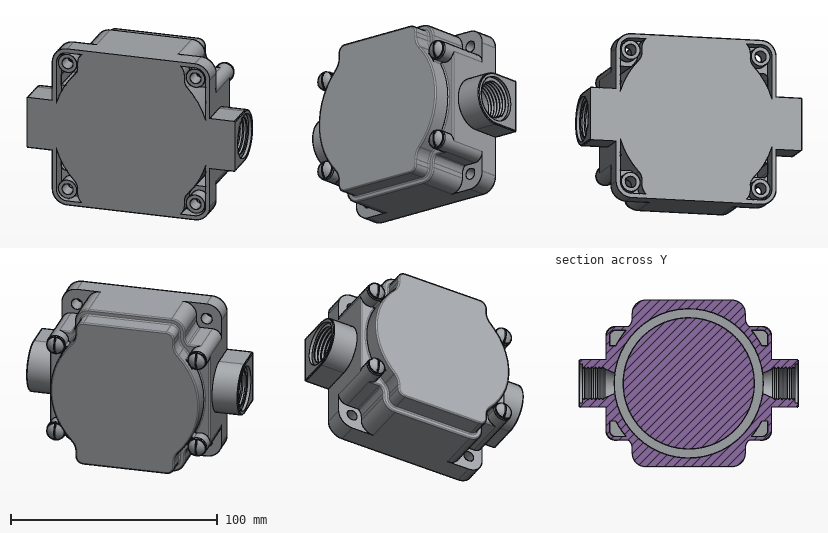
import cadquery as cq
import math


LENGTH = 106.1
DEPTH = 41.3
HALF_X = 40.1
HALF_Z = 40.4
FLANGE_TOP = 10.0
FLANGE_CORNER = 7.6
STEP_Y = 31.6
EDGE_FILLET = 0.6
SIGNS = (-1, 1)
CORNERS = [(sx, sz) for sx in SIGNS for sz in SIGNS]

DRUM_RADIUS = HALF_X
ARM_HALF_X = 27.5
ARM_CORNER = 6.7
BLEND_RADIUS = 5.3
BLEND_X = ARM_HALF_X + BLEND_RADIUS
BLEND_Z = math.sqrt((DRUM_RADIUS + BLEND_RADIUS) ** 2 - BLEND_X**2)
LID_INSET = 2.9

BOSS_RADIUS = 4.7
BOSS_X = HALF_X - BOSS_RADIUS
BOSS_FLAT_Z = 27.6
BOSS_Z = BOSS_FLAT_Z - BOSS_RADIUS
BOSS_TOP = 38.3
BOSS_CHAMFER = 0.7
BOSS_FOOT_FILLET = 1.1
BOSS_LID_FILLET = 0.6
SCREW_RADIUS = 4.4
SCREW_RIM = 0.7
SCREW_TOP = 41.0
SCREW_SLOT_WIDTH = 0.6
SCREW_SLOT_FLOOR = 39.4

HOLE_POSITION = 32.6
HOLE_RADIUS = 2.8
COLLAR_RADIUS = 4.7
COLLAR_RECESS = 0.8
FLANGE_WALL = 2.1
CORE_INSET = 0.3
POCKET_DEPTH = 7.9
BOSS_WALL = 1.9
HOLLOW_MIN_X = 26.5
HOLLOW_MIN_Z = 18.3
HOLLOW_DEPTH = 27.8

SOCKET_RADIUS = 13.0
SOCKET_Y = 14.9
SOCKET_CHAMFER = 0.4
MOUTH_RADIUS = 11.0
MOUTH_DEPTH = 1.6
THREAD_MAJOR = 9.8
THREAD_MINOR = 9.0
THREAD_PITCH = 1.8
THREAD_TURNS = 6
PORT_HALF_Y = 7.5
PORT_HALF_Z = 6.6

CHAMBER_RADIUS = 36.1
CHAMBER_FLOOR = 4.2
CHAMBER_TOP = 27.8
PLUG_RADIUS = 31.8
PLUG_BOTTOM = 17.9
PORT_OVERLAP = 1.6
THREAD_START_X = LENGTH / 2 - MOUTH_DEPTH
THREAD_END_X = THREAD_START_X - THREAD_PITCH * THREAD_TURNS
PORT_X = CHAMBER_RADIUS - PORT_OVERLAP


def plane_at(y):
    """Work plane parallel to XZ; a negative extrusion goes towards +Y."""
    return cq.Workplane("XZ", origin=(0, y, 0))


def slab(half_x, half_z, corner, start, end):
    block = plane_at(start).rect(2 * half_x, 2 * half_z).extrude(start - end)
    return block.edges("|Y").fillet(corner)


def cylinder(x, z, radius, start, end):
    return plane_at(start).center(x, z).circle(radius).extrude(start - end)


def at_corner(part, sx, sz):
    """Copy a feature made in the +X +Z corner into the corner with these signs."""
    if sx < 0:
        part = part.mirror("YZ")
    if sz < 0:
        part = part.mirror("XY")
    return part


def polar(centre_x, centre_z, radius, angle):
    return (centre_x + radius * math.cos(angle), centre_z + radius * math.sin(angle))


def mirrored_four_ways(quarter):
    half = quarter.union(quarter.mirror("YZ"))
    return half.union(half.mirror("XY")).clean()


def arm_outline(inset, start):
    """Open outline from the middle of the upper arm to the top of the blend."""
    top = HALF_Z - inset
    side = ARM_HALF_X - inset
    corner = ARM_CORNER - inset
    corner_x = side - corner
    corner_z = top - corner
    return (
        plane_at(start)
        .lineTo(0, top)
        .lineTo(corner_x, top)
        .threePointArc(polar(corner_x, corner_z, corner, math.pi / 4), (side, corner_z))
        .lineTo(side, BLEND_Z)
    )


def drum_prism(inset, start, end):
    """Drum with its two arms, moved inwards by inset."""
    drum = DRUM_RADIUS - inset
    blend = BLEND_RADIUS + inset
    tangent_angle = math.atan2(BLEND_Z, BLEND_X)
    blend_mid_angle = math.pi + tangent_angle / 2
    quarter = (
        arm_outline(inset, start)
        .threePointArc(
            polar(BLEND_X, BLEND_Z, blend, blend_mid_angle), polar(0, 0, drum, tangent_angle)
        )
        .threePointArc(polar(0, 0, drum, tangent_angle / 2), (drum, 0))
        .close()
        .extrude(start - end)
    )
    return mirrored_four_ways(quarter)


def base():
    """Lower housing: the arms joined to the boss flats, filled out to the flange width."""
    foot_z = BOSS_FLAT_Z + BOSS_FOOT_FILLET
    foot_drop = BLEND_Z - foot_z
    foot_x = BLEND_X - math.sqrt((BLEND_RADIUS - BOSS_FOOT_FILLET) ** 2 - foot_drop**2)
    foot_angle = math.atan2(foot_z - BLEND_Z, foot_x - BLEND_X) % (2 * math.pi)
    blend_mid_angle = (math.pi + foot_angle) / 2
    foot_mid_angle = (foot_angle + 1.5 * math.pi) / 2
    quarter = (
        arm_outline(0, 0)
        .threePointArc(
            polar(BLEND_X, BLEND_Z, BLEND_RADIUS, blend_mid_angle),
            polar(BLEND_X, BLEND_Z, BLEND_RADIUS, foot_angle),
        )
        .threePointArc(
            polar(foot_x, foot_z, BOSS_FOOT_FILLET, foot_mid_angle), (foot_x, BOSS_FLAT_Z)
        )
        .lineTo(BOSS_X, BOSS_FLAT_Z)
        .threePointArc(polar(BOSS_X, BOSS_Z, BOSS_RADIUS, math.pi / 4), (HALF_X, BOSS_Z))
        .lineTo(HALF_X, 0)
        .close()
        .extrude(-STEP_Y)
    )
    return mirrored_four_ways(quarter)


def housing():
    """Base and lid, with the step between them rounded at its rim and at the lid's foot."""
    body = base().union(drum_prism(LID_INSET, 0, DEPTH))
    body = body.faces(">Y").edges().fillet(EDGE_FILLET)
    step_edges = cq.selectors.BoxSelector(
        (-LENGTH, STEP_Y - EDGE_FILLET / 2, -LENGTH), (LENGTH, STEP_Y + EDGE_FILLET / 2, LENGTH)
    )
    return body.edges(step_edges).fillet(EDGE_FILLET)


def screw_boss():
    """Round boss with its slotted screw head, in the +X +Z corner."""
    rim_y = BOSS_TOP + SCREW_RIM
    dome_height = SCREW_TOP - rim_y
    sphere = (SCREW_RADIUS**2 + dome_height**2) / (2 * dome_height)
    half_angle = math.asin(SCREW_RADIUS / sphere) / 2
    dome_mid = polar(0, SCREW_TOP - sphere, sphere, math.pi / 2 - half_angle)
    boss = (
        cq.Workplane("XY")
        .lineTo(BOSS_RADIUS, 0)
        .lineTo(BOSS_RADIUS, BOSS_TOP - BOSS_CHAMFER)
        .lineTo(SCREW_RADIUS, BOSS_TOP)
        .lineTo(SCREW_RADIUS, rim_y)
        .threePointArc(dome_mid, (0, SCREW_TOP))
        .close()
        .revolve(360, (0, 0, 0), (0, 1, 0))
    )
    slot = (
        plane_at(SCREW_SLOT_FLOOR)
        .rect(SCREW_SLOT_WIDTH, 2 * SCREW_RADIUS)
        .extrude(SCREW_SLOT_FLOOR - DEPTH)
    )
    return boss.cut(slot).translate((BOSS_X, 0, BOSS_Z))


def boss_web():
    """Plan fillets filling the two notches between the +X +Z boss and the lid."""
    lid_radius = DRUM_RADIUS - LID_INSET
    web_top = BOSS_TOP - BOSS_CHAMFER
    boss_distance = math.hypot(BOSS_X, BOSS_Z)
    boss_angle = math.atan2(BOSS_Z, BOSS_X)
    to_lid = lid_radius + BOSS_LID_FILLET
    to_boss = BOSS_RADIUS + BOSS_LID_FILLET
    swing = math.acos((to_lid**2 + boss_distance**2 - to_boss**2) / (2 * to_lid * boss_distance))
    outline = []
    for side in SIGNS:
        centre = polar(0, 0, to_lid, boss_angle + side * swing)
        towards_boss = math.atan2(BOSS_Z - centre[1], BOSS_X - centre[0])
        on_lid = polar(0, 0, lid_radius, boss_angle + side * swing)
        on_boss = polar(*centre, BOSS_LID_FILLET, towards_boss)
        outline.append((centre, on_lid, on_boss))
    (low, low_lid, low_boss), (high, high_lid, high_boss) = outline
    web = (
        plane_at(0)
        .polyline([low_lid, low, low_boss, high_boss, high, high_lid])
        .close()
        .extrude(-web_top)
    )
    for centre in (low, high):
        web = web.cut(cylinder(*centre, BOSS_LID_FILLET, 0, web_top))
    return web


def socket_block():
    """Solid arm reaching to both sockets: round on the lid side, flat on the mounting side."""
    block = (
        cq.Workplane("YZ", origin=(-LENGTH / 2, 0, 0))
        .moveTo(0, -SOCKET_RADIUS)
        .lineTo(SOCKET_Y, -SOCKET_RADIUS)
        .threePointArc((SOCKET_Y + SOCKET_RADIUS, 0), (SOCKET_Y, SOCKET_RADIUS))
        .lineTo(0, SOCKET_RADIUS)
        .close()
        .extrude(LENGTH)
    )
    return block.faces("<X or >X").edges("not <Y").chamfer(SOCKET_CHAMFER)


def corner_pocket():
    """Pocket in the +X +Z corner of the mounting face, keeping a collar round the hole."""
    pocket = slab(
        HALF_X - FLANGE_WALL, HALF_Z - FLANGE_WALL, FLANGE_CORNER - FLANGE_WALL, 0, POCKET_DEPTH
    )
    corner_box = cq.Workplane("XY").box(LENGTH, LENGTH, LENGTH, centered=(False, True, False))
    hollow_max_x = HALF_X - BOSS_WALL
    hollow_max_z = BOSS_FLAT_Z - BOSS_WALL
    hollow = (
        plane_at(POCKET_DEPTH)
        .moveTo(HOLLOW_MIN_X, HOLLOW_MIN_Z)
        .lineTo(hollow_max_x, HOLLOW_MIN_Z)
        .lineTo(hollow_max_x, hollow_max_z)
        .lineTo(HOLLOW_MIN_X, hollow_max_z)
        .close()
        .extrude(POCKET_DEPTH - HOLLOW_DEPTH)
        .edges("|Y and >X and >Z")
        .fillet(BOSS_RADIUS - BOSS_WALL)
    )
    collar = cylinder(HOLE_POSITION, HOLE_POSITION, COLLAR_RADIUS, COLLAR_RECESS, POCKET_DEPTH)
    core = drum_prism(CORE_INSET, 0, STEP_Y)
    return pocket.intersect(corner_box).cut(collar).union(hollow).cut(core)


def socket_bore():
    """Mouth, thread rings and the passage narrowing to an oval port, on the +X side."""
    bore = (
        cq.Workplane("XY")
        .moveTo(LENGTH / 2, 0)
        .lineTo(LENGTH / 2, MOUTH_RADIUS)
        .lineTo(THREAD_START_X, MOUTH_RADIUS)
        .lineTo(THREAD_START_X, THREAD_MINOR)
    )
    for turn in range(THREAD_TURNS):
        turn_start = THREAD_START_X - turn * THREAD_PITCH
        bore = bore.lineTo(turn_start - THREAD_PITCH / 2, THREAD_MAJOR)
        bore = bore.lineTo(turn_start - THREAD_PITCH, THREAD_MINOR)
    bore = bore.lineTo(THREAD_END_X, 0).close().revolve(360, (0, 0, 0), (1, 0, 0))
    passage = (
        cq.Workplane("YZ", origin=(THREAD_END_X, 0, 0))
        .circle(THREAD_MINOR)
        .workplane(offset=PORT_X - THREAD_END_X)
        .ellipse(PORT_HALF_Y, PORT_HALF_Z)
        .loft(combine=True)
    )
    return bore.union(passage).translate((0, SOCKET_Y, 0))


def chamber():
    room = cylinder(0, 0, CHAMBER_RADIUS, CHAMBER_FLOOR, CHAMBER_TOP)
    return room.cut(cylinder(0, 0, PLUG_RADIUS, PLUG_BOTTOM, CHAMBER_TOP))


result = slab(HALF_X, HALF_Z, FLANGE_CORNER, 0, FLANGE_TOP)
result = result.union(housing()).union(socket_block())
boss = screw_boss().union(boss_web())
pocket = corner_pocket()
for sx, sz in CORNERS:
    result = result.union(at_corner(boss, sx, sz))
for sx, sz in CORNERS:
    hole = cylinder(sx * HOLE_POSITION, sz * HOLE_POSITION, HOLE_RADIUS, 0, FLANGE_TOP)
    result = result.cut(at_corner(pocket, sx, sz)).cut(hole)
result = result.cut(chamber())
bore = socket_bore()
result = result.cut(bore).cut(bore.mirror("YZ"))